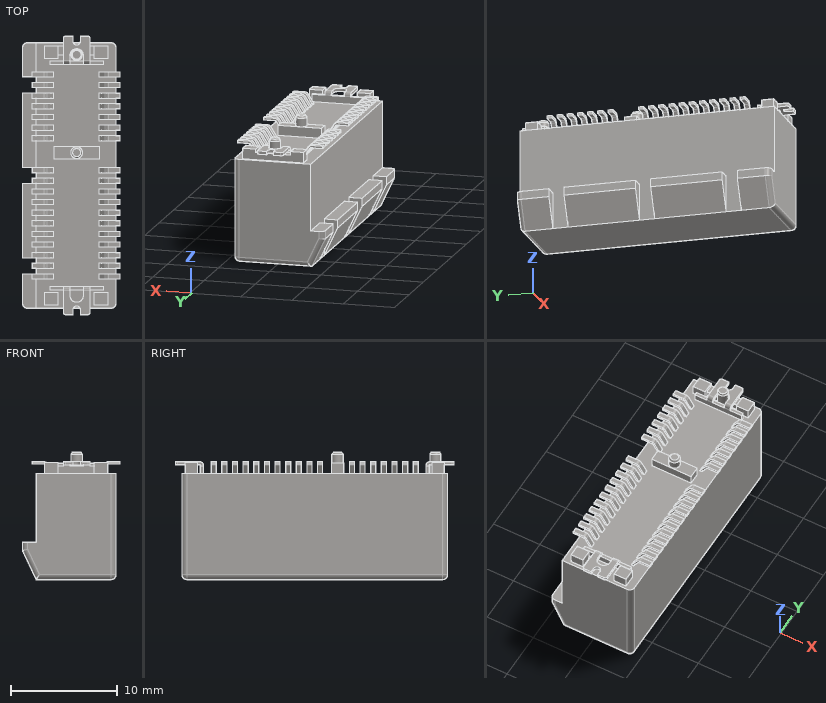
import cadquery as cq
import math


body_width = 7.52
body_length = 25.0
body_height = 10.0
edge_radius = 0.5

outer_width = 9.2
pin_tip_x = 4.15
flange_x = pin_tip_x - outer_width
flange_top_z = -6.47
flange_slope_z = -7.25
flange_notch_length = 1.5
flange_notch_pitch = 8.52

pin_positions = 20
pin_row_length = 19.0
pin_pitch = pin_row_length / (pin_positions - 1)
keyed_positions = (7, 8)
pin_width = 0.5
pin_thickness = 0.24
pin_bend_x = 3.05
pin_leg_angle = 58.0
pin_outer_radius = 0.37
pin_inner_radius = 0.2
pin_bury = 0.25
lead_top_z = 1.1

block_width = 1.28
block_length = 1.18
block_height = 1.02
block_x = 2.33
block_y = 11.6

centre_line_x = 0.05

key_y = 2.15
key_width = 4.25
key_length = 1.18
key_height = 0.97

peg_top_z = 2.0
peg_chamfer_height = 0.2
key_peg_diameter = 1.1
key_peg_tip_diameter = 0.75
end_peg_diameter = 1.05
end_peg_tip_diameter = 0.85
end_peg_y = 11.35

ledge_height = 0.68
ledge_back_y = block_y + block_length / 2

clip_tip_y = 13.1
clip_leg_y = 10.45
clip_width = 2.52
clip_thickness = 0.31
clip_bend_radius = 0.37
clip_corner_radius = 0.2
clip_foot_width = 5.05
clip_foot_height = 0.7
clip_fork_width = 0.68
clip_fork_bottom_y = 12.25
clip_window_width = 1.25
clip_window_centre_y = 11.3


def box(width, length, height, x, y, z=0.0):
    """Box centred on (x, y) and standing on height z."""
    return cq.Workplane("XY", origin=(x, y, z)).rect(width, length).extrude(height)


def make_housing():
    half = body_width / 2
    outline = [
        (-half, 0),
        (half, 0),
        (half, -body_height),
        (-half, -body_height),
        (flange_x, flange_slope_z),
        (flange_x, flange_top_z),
        (-half, flange_top_z),
    ]
    housing = cq.Workplane("XZ").polyline(outline).close().extrude(body_length / 2, both=True)

    end_edges = []
    for end in ("<Y", ">Y"):
        for edge in housing.faces(end).edges().vals():
            centre = edge.Center()
            on_flange_top = abs(centre.z - flange_top_z) < edge_radius / 2
            on_top = abs(centre.z) < edge_radius / 2
            above_flange = abs(centre.x + half) < edge_radius / 2 and centre.z > flange_top_z
            if not (on_flange_top or on_top or above_flange):
                end_edges.append(edge)
    far_bottom_edge = housing.faces(">X").edges("<Z").vals()
    housing = housing.newObject(end_edges + far_bottom_edge).fillet(edge_radius)

    notch_width = -half - flange_x
    for index in (-1, 0, 1):
        housing = housing.cut(
            box(notch_width, flange_notch_length, body_height,
                flange_x + notch_width / 2, index * flange_notch_pitch, -body_height)
        )
    return housing


def make_pin():
    """Gull-wing pin on the +X side, centred on Y = 0."""
    angle = math.radians(pin_leg_angle)
    underside_z = lead_top_z - pin_thickness

    def on_bend(radius, start_z, turn):
        return (pin_bend_x - radius * math.sin(turn), start_z - radius * (1 - math.cos(turn)))

    def down_leg(start):
        drop = start[1] + pin_bury
        return (start[0] - drop / math.tan(angle), -pin_bury)

    outer_end = on_bend(pin_outer_radius, lead_top_z, angle)
    inner_end = on_bend(pin_inner_radius, underside_z, angle)
    profile = (
        cq.Workplane("XZ")
        .moveTo(pin_tip_x, lead_top_z)
        .lineTo(pin_bend_x, lead_top_z)
        .threePointArc(on_bend(pin_outer_radius, lead_top_z, angle / 2), outer_end)
        .lineTo(*down_leg(outer_end))
        .lineTo(*down_leg(inner_end))
        .lineTo(*inner_end)
        .threePointArc(on_bend(pin_inner_radius, underside_z, angle / 2), (pin_bend_x, underside_z))
        .lineTo(pin_tip_x, underside_z)
        .close()
    )
    return profile.extrude(pin_width / 2, both=True)


def make_peg(diameter, tip_diameter, y):
    """Round peg with a bevelled tip, rising from the housing at the given Y."""
    half_profile = [
        (0, 0),
        (diameter / 2, 0),
        (diameter / 2, peg_top_z - peg_chamfer_height),
        (tip_diameter / 2, peg_top_z),
        (0, peg_top_z),
    ]
    peg = cq.Workplane("XZ").polyline(half_profile).close().revolve(360, (0, 0), (0, 1))
    return peg.translate((centre_line_x, y, 0))


def make_clip():
    """Clip at the +Y end: forked plate, bend with a window, and wide foot strip."""
    leg_back_y = clip_leg_y + clip_thickness
    plate_length = clip_tip_y - clip_leg_y
    plate = box(clip_width, plate_length, lead_top_z, centre_line_x, clip_leg_y + plate_length / 2)
    plate = plate.edges("|Z and >Y").fillet(clip_corner_radius)
    plate = plate.faces("<Y").edges(">Z").fillet(clip_bend_radius)
    underside_length = clip_tip_y - leg_back_y
    plate = plate.cut(
        box(clip_width, underside_length, lead_top_z - clip_thickness,
            centre_line_x, leg_back_y + underside_length / 2)
    )

    window_straight = clip_window_centre_y - clip_leg_y
    window = box(clip_window_width, window_straight, lead_top_z,
                 centre_line_x, clip_leg_y + window_straight / 2)
    window = window.union(
        cq.Workplane("XY", origin=(centre_line_x, clip_window_centre_y, 0))
        .circle(clip_window_width / 2).extrude(lead_top_z)
    )

    fork_centre_y = clip_fork_bottom_y + clip_fork_width / 2
    fork_straight = clip_tip_y - fork_centre_y
    fork = box(clip_fork_width, fork_straight, lead_top_z, centre_line_x, fork_centre_y + fork_straight / 2)
    fork = fork.union(
        cq.Workplane("XY", origin=(centre_line_x, fork_centre_y, 0))
        .circle(clip_fork_width / 2).extrude(lead_top_z)
    )

    foot = box(clip_foot_width, clip_thickness, clip_foot_height,
               centre_line_x, clip_leg_y + clip_thickness / 2)
    return plate.cut(window).cut(fork).union(foot)


result = make_housing()

right_pin = make_pin()
left_pin = right_pin.mirror("YZ")
for position in range(pin_positions):
    if position not in keyed_positions:
        pin_y = pin_row_length / 2 - position * pin_pitch
        result = result.union(right_pin.translate((0, pin_y, 0)))
        result = result.union(left_pin.translate((0, pin_y, 0)))

clip = make_clip()
for side_y in (-1, 1):
    for side_x in (-1, 1):
        block = box(block_width, block_length, block_height, side_x * block_x, side_y * block_y)
        result = result.union(block)
result = result.union(clip).union(clip.mirror("XZ"))

ledge_length = ledge_back_y - end_peg_y
result = result.union(
    box(2 * block_x, ledge_length, ledge_height, 0, end_peg_y + ledge_length / 2)
)
result = result.union(make_peg(end_peg_diameter, end_peg_tip_diameter, end_peg_y))

result = result.union(box(key_width, key_length, key_height, centre_line_x, key_y))
result = result.union(make_peg(key_peg_diameter, key_peg_tip_diameter, key_y))